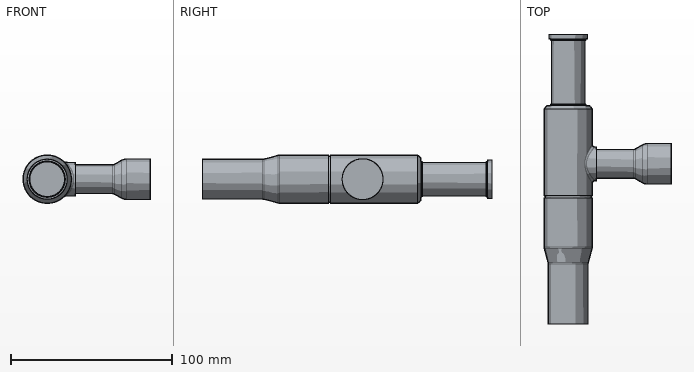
import cadquery as cq
import math


total_length = 179.4
cap_end = 80.2
open_end = cap_end - total_length
flange_thickness = 2.9
body_start = cap_end - 44.1
body_chamfer_length = 2.0
groove_center = -20.5
taper_start = -51.8
taper_end = -61.5

flange_diameter = 24.0
stem_diameter = 21.0
body_face_diameter = 26.4
body_diameter = 30.0
outlet_diameter = 24.8

bead_diameter = 22.0
bead_length = 0.5
bead_taper_length = 0.5
groove_radius = 0.7
taper_blend_radius = 3.5

mouth_diameter = 22.5
bore_diameter = 21.5
mouth_depth = 2.0
bore_start_depth = 4.3
bore_depth = 35.9

collar_diameter = 21.0
collar_end = 17.4
weld_fillet_radius = 1.5
pipe_diameter = 18.0
socket_diameter = 25.3
overall_width = 79.0
branch_end = overall_width - body_diameter / 2
flare_start = 41.0
flare_angle = 30.0
flare_start_radius = 2.2
flare_end_radius = 6.5

tolerance = 0.09


def turned_about_y(points):
    """Solid of revolution about Y from (radius, y) points."""
    return cq.Workplane("XY").polyline(points).close().revolve(360, (0, 0, 0), (0, 1, 0))


def circles_at(solid, axis, place):
    """The circles centred on the axis ("X" or "Y") at the given place along it."""
    low = [-tolerance] * 3
    high = [tolerance] * 3
    index = "XYZ".index(axis)
    low[index] += place
    high[index] += place
    return solid.edges(cq.selectors.BoxSelector(low, high))


def run():
    stem_radius = stem_diameter / 2
    bead_radius = bead_diameter / 2
    body_radius = body_diameter / 2
    outlet_radius = outlet_diameter / 2
    flange_end = cap_end - flange_thickness
    solid = turned_about_y([
        (0, cap_end),
        (flange_diameter / 2, cap_end),
        (flange_diameter / 2, flange_end),
        (bead_radius, flange_end),
        (bead_radius, flange_end - bead_length),
        (stem_radius, flange_end - bead_length - bead_taper_length),
        (stem_radius, body_start + bead_length + bead_taper_length),
        (bead_radius, body_start + bead_length),
        (bead_radius, body_start),
        (body_face_diameter / 2, body_start),
        (body_radius, body_start - body_chamfer_length),
        (body_radius, taper_start),
        (outlet_radius, taper_end),
        (outlet_radius, open_end),
        (0, open_end),
    ])
    for y in (taper_start, taper_end):
        solid = circles_at(solid, "Y", y).fillet(taper_blend_radius)
    groove_ring = cq.Solid.makeTorus(
        body_radius, groove_radius, cq.Vector(0, groove_center, 0), cq.Vector(0, 1, 0)
    )
    return solid.cut(cq.Workplane(groove_ring))


def bore():
    return turned_about_y([
        (0, open_end),
        (mouth_diameter / 2, open_end),
        (mouth_diameter / 2, open_end + mouth_depth),
        (bore_diameter / 2, open_end + bore_start_depth),
        (bore_diameter / 2, open_end + bore_depth),
        (0, open_end + bore_depth),
    ])


def collar():
    return cq.Workplane("YZ").circle(collar_diameter / 2).extrude(collar_end)


def branch_pipe():
    pipe_radius = pipe_diameter / 2
    socket_radius = socket_diameter / 2
    flare_length = (socket_radius - pipe_radius) / math.tan(math.radians(flare_angle))
    flare_end = flare_start + flare_length
    pipe = (
        cq.Workplane("XY")
        .polyline([
            (0, 0),
            (0, pipe_radius),
            (flare_start, pipe_radius),
            (flare_end, socket_radius),
            (branch_end, socket_radius),
            (branch_end, 0),
        ])
        .close()
        .revolve(360, (0, 0, 0), (1, 0, 0))
    )
    for x, blend_radius in ((flare_start, flare_start_radius), (flare_end, flare_end_radius)):
        pipe = circles_at(pipe, "X", x).fillet(blend_radius)
    return pipe


def weld_edges(solid):
    """The curve where the collar meets the body."""
    collar_reach = collar_diameter / 2 + tolerance
    body_reach = body_diameter / 2 + tolerance
    weld_box = cq.selectors.BoxSelector(
        (0, -collar_reach, -collar_reach), (body_reach, collar_reach, collar_reach), boundingbox=True
    )
    return solid.edges(weld_box)


result = weld_edges(run().union(collar())).fillet(weld_fillet_radius)
result = result.union(branch_pipe()).cut(bore())